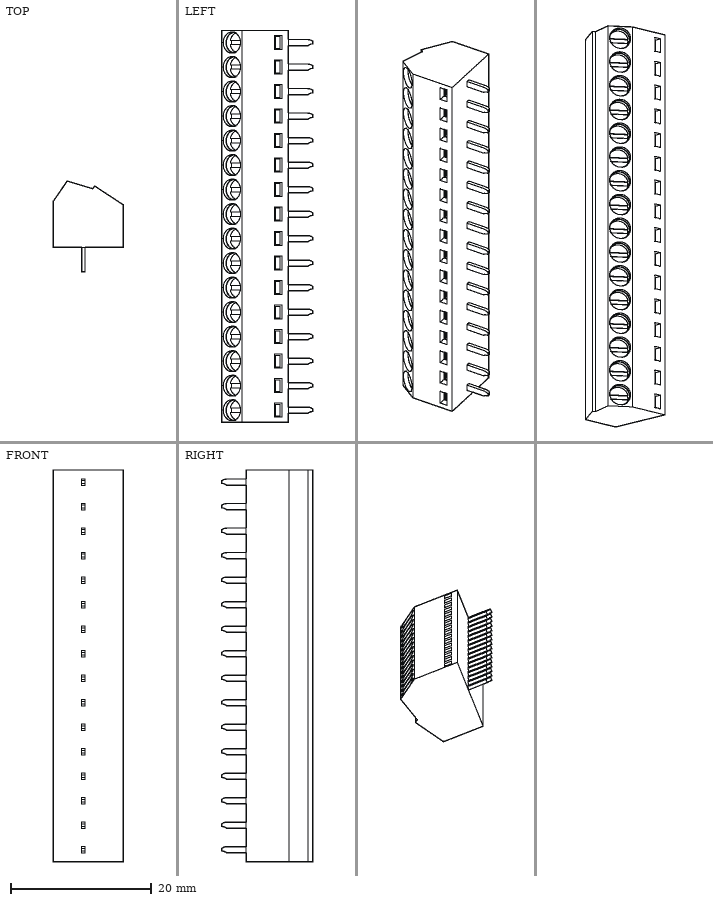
import cadquery as cq
import math

POLE_COUNT = 16
PITCH = 3.5
BODY_LENGTH = POLE_COUNT * PITCH

BODY_WIDTH = 10.0
BODY_HEIGHT = 9.5
LEFT_X = -BODY_WIDTH / 2
RIGHT_X = BODY_WIDTH / 2
SCREW_FACE_RUN = 2.0
SCREW_FACE_DROP = 2.9
STEP_FOOT_OFFSET = 5.65
STEP_FOOT_DROP = 1.1
STEP_TOP_OFFSET = 5.9
STEP_TOP_DROP = 0.7
RIGHT_DROP = 3.4

PIN_OFFSET = 4.3
PIN_X = LEFT_X + PIN_OFFSET
PIN_THICKNESS = 0.5
PIN_WIDTH = 0.9
PIN_LENGTH = 3.5
PIN_TIP_LENGTH = 0.7
PIN_TIP_INSET = 0.25

ENTRY_DIAMETER = 3.0
ENTRY_DEPTH = 0.7
SCREW_DIAMETER = 2.9
SCREW_DEPTH = 1.65
SLOT_WIDTH = 0.6
SLOT_DEPTH = 0.3

WINDOW_HEIGHT = 2.0
WINDOW_BOTTOM_Y = 0.9
WINDOW_TOP_Y = 2.0
WINDOW_DEPTH = 1.0
WELL_HEIGHT = 1.7
WELL_BOTTOM_Y = 1.15
WELL_TOP_Y = 1.85
WELL_RAMP_ANGLE = 27.0

POLE_POSITIONS = [(i - (POLE_COUNT - 1) / 2) * PITCH for i in range(POLE_COUNT)]


def make_housing():
    outline = [
        (LEFT_X, 0),
        (RIGHT_X, 0),
        (RIGHT_X, BODY_HEIGHT - RIGHT_DROP),
        (LEFT_X + STEP_TOP_OFFSET, BODY_HEIGHT - STEP_TOP_DROP),
        (LEFT_X + STEP_FOOT_OFFSET, BODY_HEIGHT - STEP_FOOT_DROP),
        (LEFT_X + SCREW_FACE_RUN, BODY_HEIGHT),
        (LEFT_X, BODY_HEIGHT - SCREW_FACE_DROP),
    ]
    return cq.Workplane("XY").polyline(outline).close().extrude(BODY_LENGTH / 2, both=True)


def make_pin(z):
    """Flat pin whose narrow sides curve inward toward the tip."""
    half_width = PIN_WIDTH / 2
    tip_half_width = half_width - PIN_TIP_INSET
    tip_start_y = PIN_TIP_LENGTH - PIN_LENGTH
    tip_radius = (PIN_TIP_LENGTH**2 + PIN_TIP_INSET**2) / (2 * PIN_TIP_INSET)
    pin = (
        cq.Workplane("YZ")
        .moveTo(0, half_width)
        .lineTo(tip_start_y, half_width)
        .tangentArcPoint((-PIN_LENGTH, tip_half_width), relative=False)
        .lineTo(-PIN_LENGTH, -tip_half_width)
        .radiusArc((tip_start_y, -half_width), tip_radius)
        .lineTo(0, -half_width)
        .close()
        .extrude(PIN_THICKNESS / 2, both=True)
    )
    return pin.translate((PIN_X, 0, z))


def make_screw_recess(z):
    """Round recess with a slightly wider mouth and a screwdriver slot across its floor."""
    face_plane = cq.Plane(
        origin=(LEFT_X + SCREW_FACE_RUN / 2, BODY_HEIGHT - SCREW_FACE_DROP / 2, z),
        xDir=(SCREW_FACE_RUN, SCREW_FACE_DROP, 0),
        normal=(-SCREW_FACE_DROP, SCREW_FACE_RUN, 0),
    )
    hole = cq.Workplane(face_plane).circle(SCREW_DIAMETER / 2).extrude(-SCREW_DEPTH)
    entry = cq.Workplane(face_plane).circle(ENTRY_DIAMETER / 2).extrude(-ENTRY_DEPTH)
    slot_bottom = SCREW_DEPTH + SLOT_DEPTH
    slot = cq.Workplane(face_plane).rect(SCREW_DIAMETER, SLOT_WIDTH).extrude(-slot_bottom)
    slot_limit = cq.Workplane(face_plane).circle(SCREW_DIAMETER / 2).extrude(-slot_bottom)
    return entry.union(hole).union(slot.intersect(slot_limit))


def make_window(z):
    """Rectangular pocket whose well gets deeper toward +Y."""
    floor_x = LEFT_X + WINDOW_DEPTH
    window_width = WINDOW_TOP_Y - WINDOW_BOTTOM_Y
    pocket = cq.Workplane("XY").box(
        WINDOW_DEPTH, window_width, WINDOW_HEIGHT, centered=(False, False, True)
    )
    pocket = pocket.translate((LEFT_X, WINDOW_BOTTOM_Y, z))
    ramp_rise = (WELL_TOP_Y - WELL_BOTTOM_Y) * math.tan(math.radians(WELL_RAMP_ANGLE))
    well_outline = [
        (floor_x, WELL_BOTTOM_Y),
        (floor_x + ramp_rise, WELL_TOP_Y),
        (floor_x, WELL_TOP_Y),
    ]
    well = cq.Workplane("XY").polyline(well_outline).close().extrude(WELL_HEIGHT / 2, both=True)
    return pocket.union(well.translate((0, 0, z)))


result = make_housing()
for pole_z in POLE_POSITIONS:
    result = result.cut(make_screw_recess(pole_z)).cut(make_window(pole_z))
    result = result.union(make_pin(pole_z))